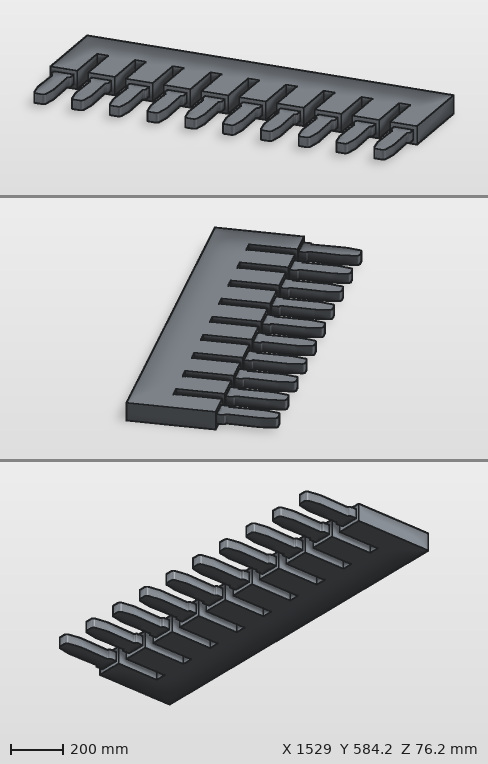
import cadquery as cq


length = 1529.05
depth = 584.19
thickness = 76.2

tooth_count = 10
pitch = 157.48
tooth_width = length - (tooth_count - 1) * pitch
slot_width = pitch - tooth_width
slot_length = 190.5
body_depth = 349.25

pin_length = depth - body_depth
pin_thickness = 40.64
collar_width = 81.28
collar_length = 33.0
collar_radius = 4.6
root_radius = 4.6
root_width = 62.5
waist_width = 67.6
waist_distance = 172.7
waist_radius = 75.0
tip_width = 45.2
tip_radius = 12.7

tooth_end_y = 0.0
collar_end_y = tooth_end_y - collar_length
waist_y = tooth_end_y - waist_distance
tip_y = tooth_end_y - pin_length
selection_margin = 1.0


def tooth_center(index):
    """X position of a tooth, counted from the -X end."""
    return (index - (tooth_count - 1) / 2) * pitch


def make_body():
    """Back strip with a through-slot between each pair of teeth."""
    block = (
        cq.Workplane("XY")
        .box(length, body_depth, thickness, centered=(True, False, True))
        .translate((0, tooth_end_y, 0))
    )
    slot_centers = [
        (tooth_center(i) + pitch / 2, tooth_end_y + slot_length / 2)
        for i in range(tooth_count - 1)
    ]
    slots = (
        cq.Workplane("XY")
        .pushPoints(slot_centers)
        .rect(slot_width, slot_length)
        .extrude(thickness / 2, both=True)
    )
    return block.cut(slots)


def round_corner_pair(pin, half_width, y, radius):
    """Round the two upright edges at X = +/-half_width on the given Y."""
    corners = cq.selectors.BoxSelector(
        (-half_width - selection_margin, y - selection_margin, -thickness),
        (half_width + selection_margin, y + selection_margin, thickness),
    )
    inner = cq.selectors.BoxSelector(
        (-half_width + selection_margin, y - selection_margin, -thickness),
        (half_width - selection_margin, y + selection_margin, thickness),
    )
    return pin.edges("|Z").edges(corners - inner).fillet(radius)


def make_pin():
    """Pin centred on X = 0: collar, slightly flared shank and tapered tip."""
    right_side = [
        (collar_width / 2, tooth_end_y),
        (collar_width / 2, collar_end_y),
        (root_width / 2, collar_end_y),
        (waist_width / 2, waist_y),
        (tip_width / 2, tip_y),
    ]
    left_side = [(-x, y) for x, y in reversed(right_side)]
    pin = (
        cq.Workplane("XY")
        .polyline(right_side + left_side)
        .close()
        .extrude(pin_thickness / 2, both=True)
    )
    pin = round_corner_pair(pin, root_width / 2, collar_end_y, root_radius)
    pin = round_corner_pair(pin, collar_width / 2, collar_end_y, collar_radius)
    pin = round_corner_pair(pin, waist_width / 2, waist_y, waist_radius)
    return round_corner_pair(pin, tip_width / 2, tip_y, tip_radius)


result = make_body()
contact_pin = make_pin()
for tooth in range(tooth_count):
    result = result.union(contact_pin.translate((tooth_center(tooth), 0, 0)))